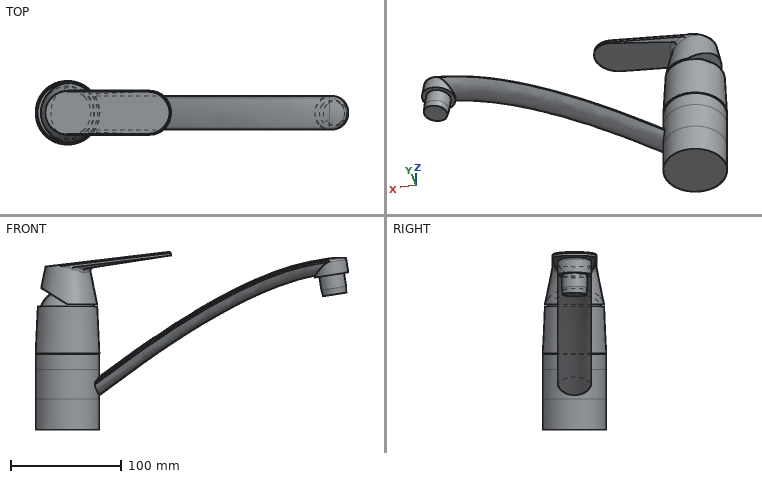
import cadquery as cq
import math

BODY_RADIUS = 29.0
SLEEVE_RADIUS = 29.05
SLEEVE_TOP_RADIUS = 27.1
RING_GROOVE_RADIUS = 28.5
RING_GROOVE_WIDTH = 0.6
SWIVEL_BOTTOM = 28.2
SWIVEL_TOP = 54.7
SLEEVE_BOTTOM = 69.3
BODY_TOP = 112.0

DOME_RADIUS = 26.4
DOME_CENTRE_Z = 101.9

CAP_BOTTOM = 113.8
CAP_BOTTOM_RADIUS = 27.0
CAP_TAPER = 0.203
RELIEF_ANGLE = 31.7

LEVER_WIDTH = 40.4
LEVER_BACK_X = -19.5
LEVER_TIP_X = 93.6
LEVER_BACK_Z = 148.2
LEVER_TIP_Z = 161.69
LEVER_EDGE_THICKNESS = 3.6
LEVER_TOP_CHAMFER = 1.3
KEEL_ROOT_DEPTH = 3.8
KEEL_DRAFT = 50.0
NECK_FILLET = 3.0
NECK_ZONE = ((5, -19, 140), (25, 19, 149))

SPOUT_CROWN = [(12.0, 35.5), (61.3, 71.8), (135.4, 118.8), (204.5, 148.8), (237.3, 155.6)]
SPOUT_START_ANGLE = 37.0
HEAD_TILT = 9.0
SPOUT_HALF_WIDTH = 15.4
SPOUT_DEPTH = 13.5
CROWN_HALF_WIDTH = 13.7
CROWN_DROP = 1.6
SHOULDER_DROP = 3.2
SHOULDER_MID = (14.9, -2.1)

HEAD_LENGTH = 15.3
AERATOR_RADIUS = 23.0 / 2
AERATOR_TIP_RADIUS = 10.8
AERATOR_LENGTH = 18.0
AERATOR_TIP_LENGTH = 6.0


def make_body():
    """Column of base, swivel ring and tapered sleeve, topped by the cartridge dome."""
    groove_bottom = SLEEVE_BOTTOM - RING_GROOVE_WIDTH
    lower = cq.Workplane("XY").circle(BODY_RADIUS).extrude(SWIVEL_BOTTOM)
    swivel = (
        cq.Workplane("XY", origin=(0, 0, SWIVEL_BOTTOM))
        .circle(BODY_RADIUS)
        .extrude(SWIVEL_TOP - SWIVEL_BOTTOM)
    )
    upper = (
        cq.Workplane("XZ")
        .moveTo(0, SWIVEL_TOP)
        .lineTo(BODY_RADIUS, SWIVEL_TOP)
        .lineTo(BODY_RADIUS, groove_bottom)
        .lineTo(RING_GROOVE_RADIUS, groove_bottom)
        .lineTo(RING_GROOVE_RADIUS, SLEEVE_BOTTOM)
        .lineTo(SLEEVE_RADIUS, SLEEVE_BOTTOM)
        .lineTo(SLEEVE_TOP_RADIUS, BODY_TOP)
        .lineTo(0, BODY_TOP)
        .close()
        .revolve(360, (0, 0), (0, 1))
    )
    dome = cq.Workplane("XY", origin=(0, 0, DOME_CENTRE_Z)).sphere(DOME_RADIUS)
    return lower.union(swivel, clean=False).union(upper, clean=False).union(dome, clean=False)


def lever_top_z(x):
    """Height of the flat lever top at a given X."""
    slope = (LEVER_TIP_Z - LEVER_BACK_Z) / (LEVER_TIP_X - LEVER_BACK_X)
    return LEVER_BACK_Z + slope * (x - LEVER_BACK_X)


def make_cap():
    """Cone under the lever, cut off along the lever top and relieved at the back."""
    height = LEVER_TIP_Z - CAP_BOTTOM
    cone = (
        cq.Workplane("XY", origin=(0, 0, CAP_BOTTOM))
        .circle(CAP_BOTTOM_RADIUS)
        .workplane(offset=height)
        .circle(CAP_BOTTOM_RADIUS - CAP_TAPER * height)
        .loft(ruled=True)
    )
    reach = 2 * CAP_BOTTOM_RADIUS
    side_profile = (
        cq.Workplane("XZ")
        .moveTo(0, CAP_BOTTOM)
        .lineTo(reach, CAP_BOTTOM)
        .lineTo(reach, lever_top_z(0))
        .lineTo(0, lever_top_z(0))
        .lineTo(-reach, lever_top_z(-reach))
        .lineTo(-reach, CAP_BOTTOM + reach * math.tan(math.radians(RELIEF_ANGLE)))
        .close()
        .extrude(reach, both=True)
    )
    return cone.intersect(side_profile)


def make_lever():
    """Slot-shaped plate with a keel below it that thins out toward the tip."""
    run = LEVER_TIP_X - LEVER_BACK_X
    rise = LEVER_TIP_Z - LEVER_BACK_Z
    length = math.hypot(run, rise)
    top_plane = cq.Plane(
        origin=((LEVER_TIP_X + LEVER_BACK_X) / 2, 0, (LEVER_TIP_Z + LEVER_BACK_Z) / 2),
        xDir=(run, 0, rise),
        normal=(-rise, 0, run),
    )
    plate = (
        cq.Workplane(top_plane)
        .slot2D(length, LEVER_WIDTH)
        .extrude(-LEVER_EDGE_THICKNESS)
    )
    top_face = plate.faces(cq.selectors.DirectionMinMaxSelector(top_plane.zDir, True))
    plate = top_face.edges().chamfer(LEVER_TOP_CHAMFER)

    keel = (
        cq.Workplane(top_plane)
        .workplane(offset=-LEVER_EDGE_THICKNESS)
        .slot2D(length, LEVER_WIDTH)
        .extrude(-KEEL_ROOT_DEPTH, taper=KEEL_DRAFT)
    )
    keel_profile = (
        cq.Workplane(cq.Plane(origin=top_plane.origin, xDir=top_plane.xDir, normal=(0, -1, 0)))
        .moveTo(-length / 2, -LEVER_EDGE_THICKNESS)
        .lineTo(length / 2, -LEVER_EDGE_THICKNESS)
        .lineTo(-length / 2, -LEVER_EDGE_THICKNESS - KEEL_ROOT_DEPTH)
        .close()
        .extrude(LEVER_WIDTH, both=True)
    )
    return plate.union(keel.intersect(keel_profile))


def make_spout():
    """Shallow crown over a rounded underside, swept along the crown line."""
    start_angle = math.radians(SPOUT_START_ANGLE)
    end_angle = math.radians(HEAD_TILT)
    path = cq.Workplane("XZ").spline(
        SPOUT_CROWN,
        tangents=[
            (math.cos(start_angle), math.sin(start_angle)),
            (math.cos(end_angle), math.sin(end_angle)),
        ],
    )
    start_x, start_z = SPOUT_CROWN[0]
    section_plane = cq.Plane(
        origin=(start_x, 0, start_z),
        xDir=(0, 1, 0),
        normal=(math.cos(start_angle), 0, math.sin(start_angle)),
    )
    section = (
        cq.Workplane(section_plane)
        .moveTo(-SPOUT_HALF_WIDTH, -SHOULDER_DROP)
        .threePointArc((0, -SPOUT_DEPTH), (SPOUT_HALF_WIDTH, -SHOULDER_DROP))
        .threePointArc(SHOULDER_MID, (CROWN_HALF_WIDTH, -CROWN_DROP))
        .threePointArc((0, 0), (-CROWN_HALF_WIDTH, -CROWN_DROP))
        .threePointArc((-SHOULDER_MID[0], SHOULDER_MID[1]), (-SPOUT_HALF_WIDTH, -SHOULDER_DROP))
        .close()
    )
    return section.sweep(path)


def make_head():
    """Round spout end with the aerator below it, turned about the tilted axis."""
    tilt = math.radians(HEAD_TILT)
    end_x, end_z = SPOUT_CROWN[-1]
    head_plane = cq.Plane(
        origin=(end_x, 0, end_z),
        xDir=(math.cos(tilt), 0, math.sin(tilt)),
        normal=(0, -1, 0),
    )
    crown_radius = (CROWN_HALF_WIDTH**2 + CROWN_DROP**2) / (2 * CROWN_DROP)
    half_x = CROWN_HALF_WIDTH / 2
    half_drop = crown_radius - math.sqrt(crown_radius**2 - half_x**2)
    aerator_end = -HEAD_LENGTH - AERATOR_LENGTH
    return (
        cq.Workplane(head_plane)
        .moveTo(0, 0)
        .threePointArc((half_x, -half_drop), (CROWN_HALF_WIDTH, -CROWN_DROP))
        .threePointArc(SHOULDER_MID, (SPOUT_HALF_WIDTH, -SHOULDER_DROP))
        .lineTo(SPOUT_HALF_WIDTH, -HEAD_LENGTH)
        .lineTo(AERATOR_RADIUS, -HEAD_LENGTH)
        .lineTo(AERATOR_RADIUS, aerator_end + AERATOR_TIP_LENGTH)
        .lineTo(AERATOR_TIP_RADIUS, aerator_end)
        .lineTo(0, aerator_end)
        .close()
        .revolve(360, (0, 0), (0, 1))
    )


def make_handle():
    """Cap and lever joined, with the neck rounded where the lever overhangs the cap."""
    handle = make_cap().union(make_lever())
    neck = cq.selectors.BoxSelector(*NECK_ZONE)
    return handle.edges(neck).fillet(NECK_FILLET)


handle = make_handle()
spout = make_spout().union(make_head())
result = make_body().union(handle, clean=False).union(spout, clean=False)